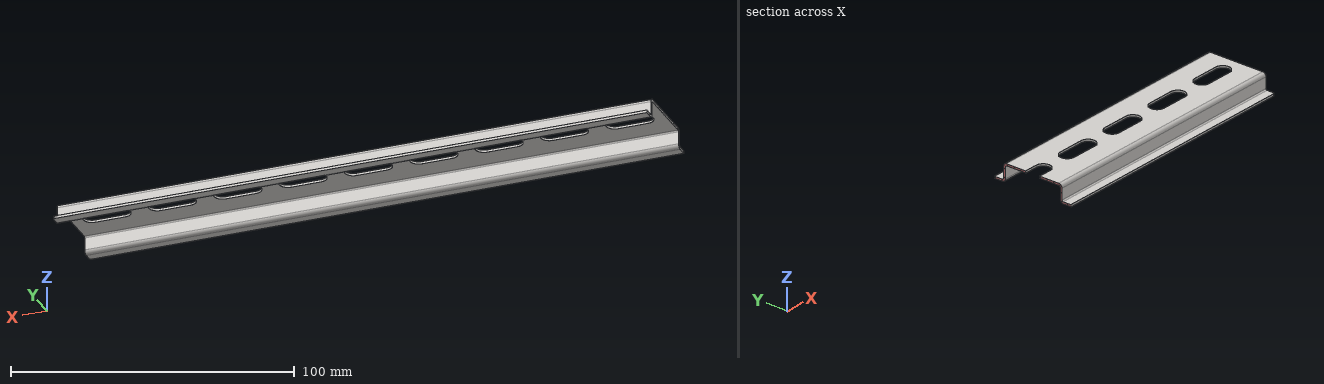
import cadquery as cq

length = 225.5
width = 35.0
height = 7.7
thickness = 1.0

crown_width = 26.8
bend_inner_radius = 0.5
bend_outer_radius = bend_inner_radius + thickness

slot_count = 9
slot_pitch = 24.8
slot_length = 17.8
slot_width = 6.3

corner_radius = 1.0


def hat_section():
    """Hat profile in the YZ plane, with its four bends still sharp."""
    half_crown = crown_width / 2
    half_inside = half_crown - thickness
    half_width = width / 2
    return cq.Workplane("YZ").polyline([
        (-half_width, 0),
        (-half_inside, 0),
        (-half_inside, height - thickness),
        (half_inside, height - thickness),
        (half_inside, 0),
        (half_width, 0),
        (half_width, thickness),
        (half_crown, thickness),
        (half_crown, height),
        (-half_crown, height),
        (-half_crown, thickness),
        (-half_width, thickness),
    ]).close()


def bend_edges(rail, y, z):
    """Pair of lengthwise edges at +y and -y, at height z."""
    tolerance = 0.02
    edges = rail.edges("|X")
    return edges.filter(
        lambda e: abs(abs(e.Center().y) - y) < tolerance and abs(e.Center().z - z) < tolerance
    )


rail = hat_section().extrude(length / 2, both=True)
outer_face = crown_width / 2
inner_face = outer_face - thickness
for y, z, radius in [
    (outer_face, height, bend_outer_radius),
    (inner_face, height - thickness, bend_inner_radius),
    (outer_face, thickness, bend_inner_radius),
    (inner_face, 0, bend_outer_radius),
]:
    rail = bend_edges(rail, y, z).fillet(radius)

rail = rail.edges("|Z and >X").edges("<Y or >Y").fillet(corner_radius)

slots = (
    cq.Workplane("XY")
    .rarray(slot_pitch, 2.3, slot_count, 1)
    .slot2D(slot_length, slot_width)
    .extrude(height)
)
result = rail.cut(slots)